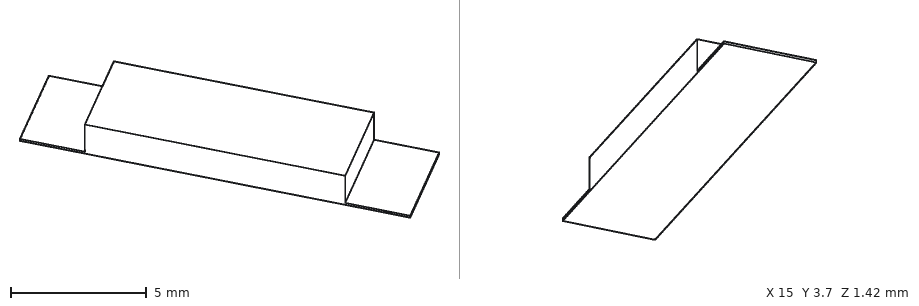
import cadquery as cq

length = 15.0
width = 3.7
height = 1.42

body_length = 10.0
tab_thickness = 0.1


def block(size_x, size_z):
    """Full-width block centred on X and Y, standing on Z = 0."""
    return cq.Workplane("XY").box(size_x, width, size_z, centered=(True, True, False))


tab_strip = block(length, tab_thickness)
body = block(body_length, height)

result = body.union(tab_strip)